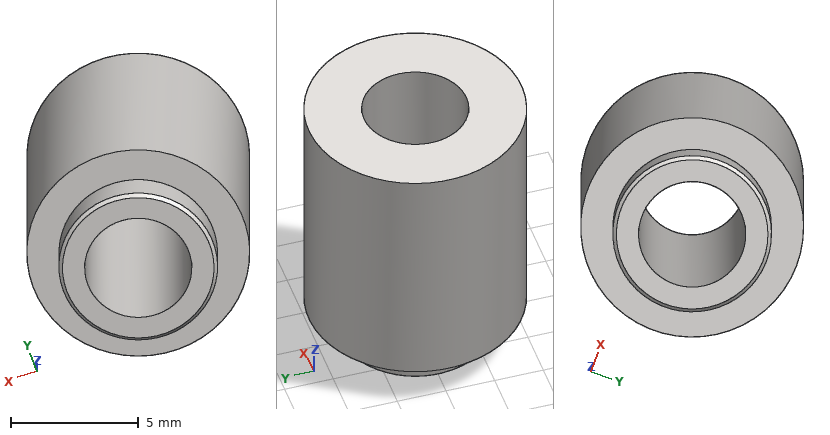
import cadquery as cq

body_diameter = 8.74
spigot_diameter = 6.22
bore_diameter = 4.2
total_height = 11.53
spigot_height = 1.53
spigot_chamfer = 0.14

body_height = total_height - spigot_height


def make_body():
    """Main cylinder, with its shoulder on the XY plane."""
    return cq.Workplane("XY").circle(body_diameter / 2).extrude(body_height)


def make_spigot():
    """Smaller locating cylinder below the shoulder, chamfered at its lower end."""
    spigot = cq.Workplane("XY").circle(spigot_diameter / 2).extrude(-spigot_height)
    return spigot.faces("<Z").edges().chamfer(spigot_chamfer)


def make_bore():
    """Cutter for the axial hole through the whole part."""
    return (
        cq.Workplane("XY")
        .workplane(offset=-spigot_height)
        .circle(bore_diameter / 2)
        .extrude(total_height)
    )


result = make_body().union(make_spigot()).cut(make_bore())